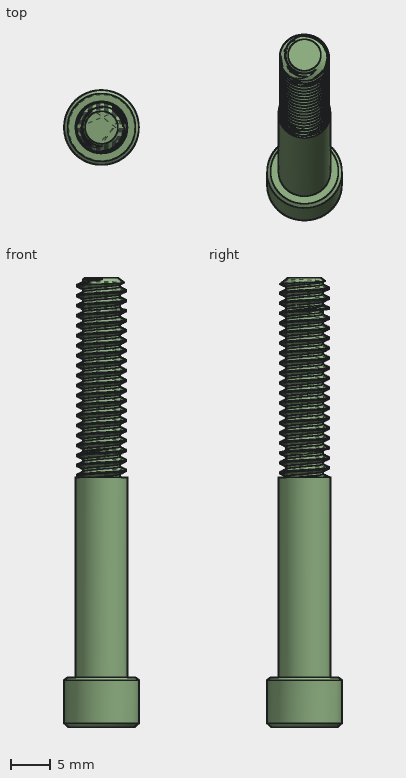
import cadquery as cq


total_length = 57.15
head_diameter = 9.55
head_height = 6.35
shank_diameter = 6.65

head_end_chamfer_width = 0.6
head_end_chamfer_height = 0.5
bearing_chamfer_width = 0.45
bearing_chamfer_height = 0.35

thread_length = 25.4
thread_turns = 20
thread_diameter = 6.35
root_diameter = 4.75
first_crest_depth = 1.05
thread_pitch = thread_length / thread_turns
crest_width = thread_pitch / 8
ridge_base_width = thread_pitch * 3 / 4
root_overlap = 0.2
overrun_turns = 1

tip_diameter = 4.2
tip_cone_length = 0.85

thread_start = total_length - thread_length


def revolve_about_z(outline):
    return outline.close().revolve(360, (0, 0, 0), (0, 1, 0))


def make_head_and_shank():
    head_radius = head_diameter / 2
    shank_radius = shank_diameter / 2
    return revolve_about_z(
        cq.Workplane("XZ")
        .lineTo(head_radius - head_end_chamfer_width, 0)
        .lineTo(head_radius, head_end_chamfer_height)
        .lineTo(head_radius, head_height - bearing_chamfer_height)
        .lineTo(head_radius - bearing_chamfer_width, head_height)
        .lineTo(shank_radius, head_height)
        .lineTo(shank_radius, thread_start)
        .lineTo(0, thread_start)
    )


def make_thread_ridge():
    """Right-handed helical ridge that overruns both ends of the thread."""
    crest_radius = thread_diameter / 2
    root_radius = root_diameter / 2
    buried_radius = root_radius - root_overlap
    flank_slope = (ridge_base_width - crest_width) / 2 / (crest_radius - root_radius)
    buried_half_width = ridge_base_width / 2 + flank_slope * root_overlap

    turns_below_first_crest = thread_turns + overrun_turns - 0.5
    helix_bottom = total_length - first_crest_depth - turns_below_first_crest * thread_pitch
    helix_height = (thread_turns + 2 * overrun_turns) * thread_pitch
    helix = cq.Wire.makeHelix(thread_pitch, helix_height, root_radius)
    profile = (
        cq.Workplane("XZ")
        .moveTo(buried_radius, -buried_half_width)
        .lineTo(crest_radius, -crest_width / 2)
        .lineTo(crest_radius, crest_width / 2)
        .lineTo(buried_radius, buried_half_width)
        .close()
    )
    return profile.sweep(helix, isFrenet=True).translate((0, 0, helix_bottom))


def make_thread_envelope():
    """Space between the shank and the tip cone, wide enough to clear the crests."""
    tip_radius = tip_diameter / 2
    outer_radius = shank_diameter / 2
    cone_slope = tip_cone_length / (thread_diameter / 2 - tip_radius)
    cone_bottom = total_length - cone_slope * (outer_radius - tip_radius)
    return revolve_about_z(
        cq.Workplane("XZ")
        .moveTo(0, thread_start)
        .lineTo(outer_radius, thread_start)
        .lineTo(outer_radius, cone_bottom)
        .lineTo(tip_radius, total_length)
        .lineTo(0, total_length)
    )


def make_threaded_end():
    envelope = make_thread_envelope()
    core = (
        cq.Workplane("XY", origin=(0, 0, thread_start))
        .circle(root_diameter / 2)
        .extrude(thread_length)
        .intersect(envelope)
    )
    ridge = make_thread_ridge().intersect(envelope)
    return core.union(ridge)


result = make_head_and_shank().union(make_threaded_end())